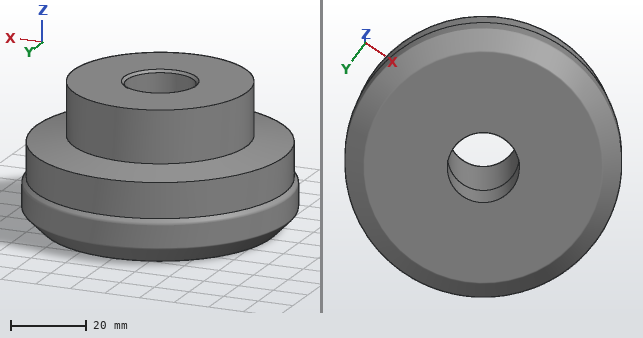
import cadquery as cq

total_height = 40.0
base_height = 13.15
shoulder_height = 23.2
neck_bottom_height = 25.0

base_radius = 36.75
hub_radius = 35.6
neck_radius = 24.9
bore_radius = 9.55

bore_chamfer = 0.7
base_bottom_chamfer = 5.0
base_top_chamfer = base_radius - hub_radius
base_top_rounding = 0.95
base_bottom_rounding = 0.65


def horizontal_circle_at(radius, height):
    """Selector for the horizontal circular edge with a given radius and height."""
    tolerance = 0.01
    reach = radius + tolerance
    return cq.selectors.BoxSelector(
        (-reach, -reach, height - tolerance),
        (reach, reach, height + tolerance),
        boundingbox=True,
    )


def make_base_ring():
    """Bored disc with 45 degree chamfers and softened outer corners."""
    ring = cq.Workplane("XY").circle(base_radius).extrude(base_height)
    ring = ring.faces(">Z").edges().chamfer(base_top_chamfer)
    ring = ring.faces("<Z").edges().chamfer(base_bottom_chamfer)
    upper_corner = horizontal_circle_at(base_radius, base_height - base_top_chamfer)
    lower_corner = horizontal_circle_at(base_radius, base_bottom_chamfer)
    ring = ring.edges(upper_corner).fillet(base_top_rounding)
    ring = ring.edges(lower_corner).fillet(base_bottom_rounding)
    ring = ring.faces("<Z").edges().fillet(base_bottom_rounding)
    bore = cq.Workplane("XY").circle(bore_radius).extrude(base_height)
    return ring.cut(bore)


def make_hub():
    """Revolved hub: wide body, sloping shoulder, neck and chamfered bore."""
    return (
        cq.Workplane("XZ")
        .moveTo(bore_radius, base_height)
        .lineTo(hub_radius, base_height)
        .lineTo(hub_radius, shoulder_height)
        .lineTo(neck_radius, neck_bottom_height)
        .lineTo(neck_radius, total_height)
        .lineTo(bore_radius + bore_chamfer, total_height)
        .lineTo(bore_radius, total_height - bore_chamfer)
        .close()
        .revolve(360, (0, 0, 0), (0, 1, 0))
    )


base_ring = make_base_ring()
hub = make_hub()

result = cq.Compound.makeCompound([base_ring.solids().val(), hub.val()])